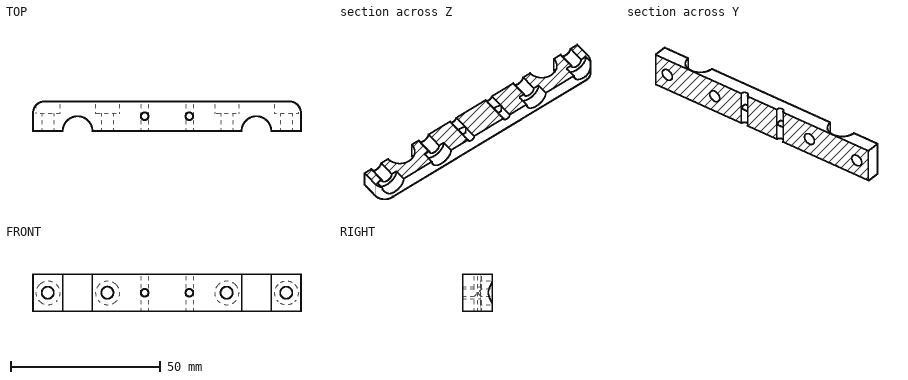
import cadquery as cq

length = 90.0
depth = 10.0
height = 12.5
corner_radius = 4.0

groove_diameter = 9.9
groove_spacing = 60.0

clamp_hole_diameter = 4.0
clamp_hole_offset = 10.0

counterbore_diameter = 8.0
counterbore_depth = 4.0

small_hole_diameter = 2.5
small_hole_spacing = 15.0

front_y = -depth / 2
groove_xs = [-groove_spacing / 2, groove_spacing / 2]
small_hole_xs = [-small_hole_spacing / 2, small_hole_spacing / 2]
clamp_hole_xs = [x + side * clamp_hole_offset for x in groove_xs for side in (-1, 1)]


def make_bar():
    """Rectangular bar with its two rear vertical edges rounded."""
    return cq.Workplane("XY").box(length, depth, height).edges("|Z and >Y").fillet(corner_radius)


def vertical_cylinders(xs, y, diameter):
    """Cylinders along Z, as tall as the bar, at the given X places."""
    base = cq.Workplane("XY").workplane(offset=-height / 2)
    return base.pushPoints([(x, y) for x in xs]).circle(diameter / 2).extrude(height)


def cross_cylinders(xs, diameter, reach):
    """Cylinders along Y at mid height, reaching forward from the rear face, at the given X places."""
    base = cq.Workplane("XZ").workplane(offset=-depth / 2)
    return base.pushPoints([(x, 0) for x in xs]).circle(diameter / 2).extrude(reach)


result = (
    make_bar()
    .cut(vertical_cylinders(groove_xs, front_y, groove_diameter))
    .cut(cross_cylinders(clamp_hole_xs, clamp_hole_diameter, depth))
    .cut(cross_cylinders(clamp_hole_xs, counterbore_diameter, counterbore_depth))
    .cut(cross_cylinders(small_hole_xs, small_hole_diameter, depth))
    .cut(vertical_cylinders(small_hole_xs, 0, small_hole_diameter))
)